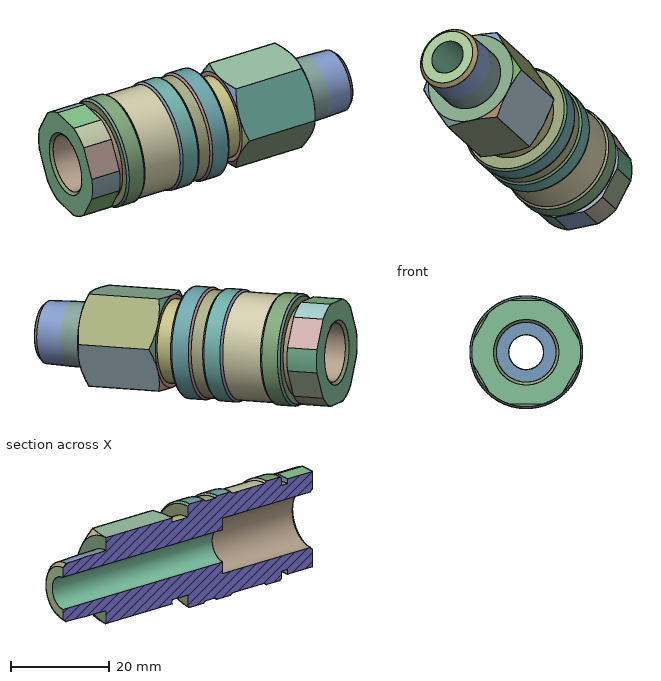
import cadquery as cq
import math

total_length = 64.0

nut_length = 6.45
nut_radius = 11.1
nut_across_flats = 21.1

sleeve_start = 7.95
sleeve_end = 32.0
sleeve_radius = 11.1
band_height = 0.415
band_radius = sleeve_radius + band_height
band_edge_length = 0.45
band_spans = [(sleeve_start, 12.3), (20.55, 24.95), (27.45, sleeve_end)]

front_neck_radius = 9.55
rear_neck_radius = 8.65

hex_half_angle = math.radians(30)

hex_start = 35.9
hex_end = 53.0
hex_across_flats = 19.1
hex_corner_radius = hex_across_flats / 2 / math.cos(hex_half_angle)
hex_bevel_radius = hex_across_flats / 2
hex_bevel_angle = math.radians(30)
hex_bevel_length = (hex_corner_radius - hex_bevel_radius) * math.tan(hex_bevel_angle)

thread_root_radius = 6.7
thread_gauge_radius = 6.65
thread_gauge_position = 57.9
thread_end_radius = 6.45
thread_tip_radius = 5.7
thread_tip_chamfer = 0.8

through_radius = 3.5
socket_radius = 6.1
socket_depth = 23.05
socket_chamfer = 0.6


def revolve_about_y(points):
    """Revolve a (radius, y) outline about the Y axis."""
    return cq.Workplane("XY").polyline(points).close().revolve(360, (0, 0, 0), (0, 1, 0))


def cylinder(radius, start, end):
    """Cylinder along Y between two positions."""
    return revolve_about_y([(0, start), (radius, start), (radius, end), (0, end)])


def hexagon(across_flats, start, end):
    """Hexagonal prism along Y with flats facing +Z and -Z."""
    corner_diameter = across_flats / math.cos(hex_half_angle)
    plane = cq.Workplane("XZ", origin=(0, start, 0))
    return plane.polygon(6, corner_diameter).extrude(start - end)


def band(start, end):
    """Raised sleeve band with bevelled edges running down to the sleeve."""
    return revolve_about_y([
        (0, start),
        (sleeve_radius, start),
        (band_radius, start + band_edge_length),
        (band_radius, end - band_edge_length),
        (sleeve_radius, end),
        (0, end),
    ])


def hex_body():
    """Hexagonal body with its corners turned off at both ends."""
    envelope = revolve_about_y([
        (0, hex_start),
        (hex_bevel_radius, hex_start),
        (hex_corner_radius, hex_start + hex_bevel_length),
        (hex_corner_radius, hex_end - hex_bevel_length),
        (hex_bevel_radius, hex_end),
        (0, hex_end),
    ])
    return hexagon(hex_across_flats, hex_start, hex_end).intersect(envelope)


def thread():
    """Tapered thread envelope with a chamfered tip."""
    return revolve_about_y([
        (0, hex_end),
        (thread_root_radius, hex_end),
        (thread_gauge_radius, thread_gauge_position),
        (thread_end_radius, total_length - thread_tip_chamfer),
        (thread_tip_radius, total_length),
        (0, total_length),
    ])


def bores():
    """Through bore with a wider, chamfered socket at Y = 0."""
    return revolve_about_y([
        (0, 0),
        (socket_radius + socket_chamfer, 0),
        (socket_radius, socket_chamfer),
        (socket_radius, socket_depth),
        (through_radius, socket_depth),
        (through_radius, total_length),
        (0, total_length),
    ])


nut = cylinder(nut_radius, 0, nut_length).intersect(hexagon(nut_across_flats, 0, nut_length))

body = nut.union(cylinder(front_neck_radius, nut_length, sleeve_start))
body = body.union(cylinder(sleeve_radius, sleeve_start, sleeve_end))
for band_start, band_end in band_spans:
    body = body.union(band(band_start, band_end))
body = body.union(cylinder(rear_neck_radius, sleeve_end, hex_start))
body = body.union(hex_body())
body = body.union(thread())

result = body.cut(bores())